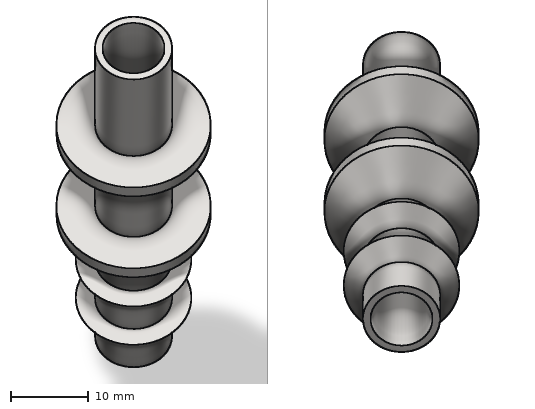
import cadquery as cq

length = 64.0
stem_radius = 10.0 / 2
bore_radius = 8.0 / 2

flange_radius = 20.0 / 2
flange_disc_thickness = 2.0
flange_base_heights = (22.0, 40.0)

barb_radius = 15.0 / 2
barb_base_heights = (6.0, 14.5)


def cylinder(radius, height, base_z=0.0):
    return cq.Workplane("XY").workplane(offset=base_z).circle(radius).extrude(height)


def collar(rim_radius, base_z, disc_thickness=0.0):
    """Cone from the stem surface out to the rim, with an optional disc on top."""
    cone_top = base_z + rim_radius - stem_radius
    profile = cq.Workplane("XZ").moveTo(0, base_z).lineTo(stem_radius, base_z).lineTo(rim_radius, cone_top)
    if disc_thickness > 0:
        profile = profile.lineTo(rim_radius, cone_top + disc_thickness)
    profile = profile.lineTo(0, cone_top + disc_thickness).close()
    return profile.revolve(360, (0, 0, 0), (0, 1, 0))


body = cylinder(stem_radius, length)
for base_height in flange_base_heights:
    body = body.union(collar(flange_radius, base_height, flange_disc_thickness))
for base_height in barb_base_heights:
    body = body.union(collar(barb_radius, base_height))

result = body.cut(cylinder(bore_radius, length))